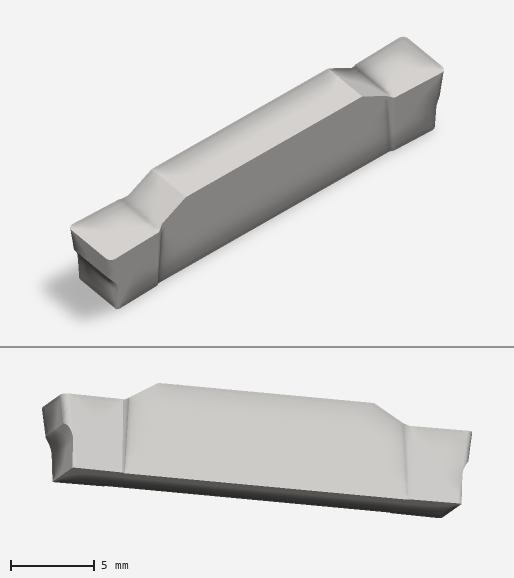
import cadquery as cq
import math

length = 26.25
height = 5.8
shank_width = 3.2
half_length = length / 2

land_height = 4.51
land_length = 3.9
head_half_width = 2.007
corner_radius = 0.4
back_run = 1.7
plan_relief = math.tan(math.radians(2))
side_relief = math.tan(math.radians(2))
front_relief = math.tan(math.radians(7))

foot_setback = 0.7
foot_height = 1.65
undercut_top = 2.73
ramp_length = (height - land_height) / math.tan(math.radians(30))
ramp_start = 4.01
ramp_blend_radius = 0.31
clearance = 0.25


def make_profile():
    """Side outline with undercut ends and raised centre, wider than the part."""
    foot = half_length - foot_setback
    undercut = half_length - front_relief * (land_height - undercut_top)
    overhang = half_length + clearance
    ramp_foot = half_length - ramp_start
    ramp_top = ramp_foot - ramp_length

    half = (
        cq.Workplane("YZ")
        .moveTo(0, 0)
        .lineTo(foot, 0)
        .lineTo(foot, foot_height)
        .tangentArcPoint((undercut, undercut_top), relative=False)
        .lineTo(overhang, undercut_top)
        .lineTo(overhang, land_height)
        .lineTo(ramp_foot, land_height)
        .lineTo(ramp_top, height)
        .lineTo(0, height)
        .close()
        .extrude(head_half_width + clearance, both=True)
    )
    blend_edge = cq.selectors.NearestToPointSelector((0, ramp_foot, land_height))
    half = half.edges(blend_edge).fillet(ramp_blend_radius)
    return half.union(half.mirror("XZ"))


def head_outline(z):
    """Right-hand points of the -Y head at height z, from tip to shank."""
    drop = land_height - z
    tip = front_relief * drop
    reference_width = head_half_width - side_relief * drop
    tip_width = reference_width - plan_relief * tip
    back_width = reference_width - plan_relief * land_length
    shank_start = land_length + back_run * (back_width - shank_width / 2)
    return [
        (tip_width, tip - half_length),
        (back_width, land_length - half_length),
        (shank_width / 2, shank_start - half_length),
    ]


def make_head():
    """Relieved -Y head, lofted over the full height, with rounded tip corners."""
    base = head_outline(0)
    top = head_outline(height)
    base_loop = base + [(-x, y) for x, y in reversed(base)]
    top_loop = top + [(-x, y) for x, y in reversed(top)]
    head = (
        cq.Workplane("XY")
        .polyline(base_loop)
        .close()
        .workplane(offset=height)
        .polyline(top_loop)
        .close()
        .loft(ruled=True)
    )
    return head.faces("<Y").edges("not(#Z)").fillet(corner_radius)


shank_length = length - 2 * land_length
shank = cq.Workplane("XY").box(shank_width, shank_length, height, centered=(True, True, False))
head = make_head()
envelope = shank.union(head).union(head.mirror("XZ"))

result = envelope.intersect(make_profile())